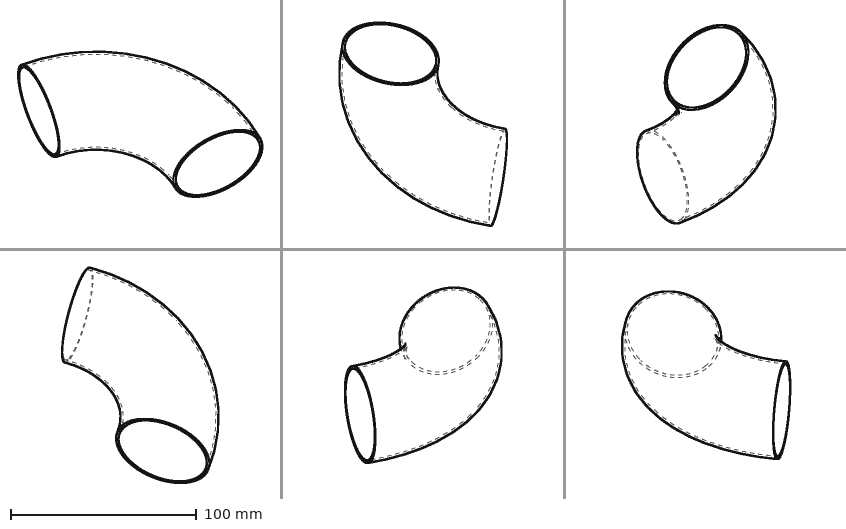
import cadquery as cq

overall_size = 99.0
outer_diameter = 53.0
wall_thickness = 1.5
bend_angle = 90.0

outer_radius = outer_diameter / 2
inner_radius = outer_radius - wall_thickness
bend_radius = overall_size - outer_radius


def tube_elbow():
    """Turn the tube ring about the bend axis, which is the Z axis.

    The ring starts on the open end facing -Y and turns to the open end facing +X.
    """
    axis_start = (bend_radius, 0)
    axis_end = (bend_radius, -1)
    return (
        cq.Workplane("XZ")
        .center(-bend_radius, 0)
        .circle(outer_radius)
        .circle(inner_radius)
        .revolve(bend_angle, axis_start, axis_end)
    )


result = tube_elbow()